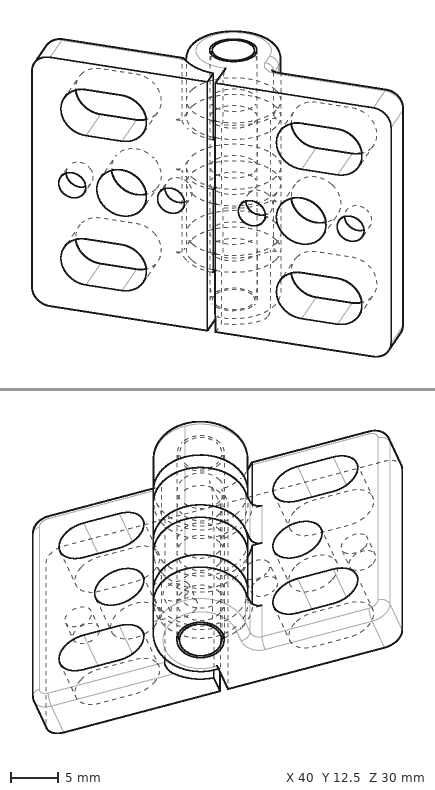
import cadquery as cq
import math

hinge_width = 40.0
hinge_height = 30.0
leaf_thickness = 5.0
leaf_gap = 0.9
corner_radius = 2.0
edge_radius = 1.0

barrel_radius = 5.0
axis_y = leaf_thickness + barrel_radius / 2
washer_thickness = 2.0
knuckle_count = 4
knuckle_length = (hinge_height - (knuckle_count - 1) * washer_thickness) / knuckle_count
knuckle_pitch = knuckle_length + washer_thickness
root_radius = 1.0
clearance_radius = 5.5
pin_diameter = 5.0
pin_lead_length = 1.5
pin_lead_angle = 10.0

hole_x = 10.0
hole_diameter = 5.5
slot_x = 12.0
slot_z = 9.0
slot_travel = 4.0
slot_length = slot_travel + hole_diameter
blind_diameter = 3.0
blind_spacing = 11.0
blind_depth = leaf_thickness / 2

leaf_inner_x = leaf_gap / 2
leaf_outer_x = hinge_width / 2
top_z = hinge_height / 2


def cylinder_on_axis(radius, bottom_z, length):
    """Cylinder around the hinge axis."""
    return cq.Workplane("XY", origin=(0, axis_y, bottom_z)).circle(radius).extrude(length)


def knuckle_bottom(index):
    """Lower end of a knuckle, counted from the top of the hinge."""
    return top_z - knuckle_length - index * knuckle_pitch


def leaf_plate():
    """Right-hand plate with rounded outer corners."""
    plate = cq.Workplane("XY").box(
        leaf_outer_x - leaf_inner_x, leaf_thickness, hinge_height, centered=(False, False, True)
    ).translate((leaf_inner_x, 0, 0))
    return plate.edges("|Y and >X").fillet(corner_radius)


def knuckle(index):
    """Knuckle with its rounded root on the plate, ending at the leaf's inner face below the axis."""
    arc_drop = math.sqrt(barrel_radius**2 - leaf_inner_x**2)
    arc_share = math.cos(math.radians(45))
    root_x = barrel_radius + root_radius
    root_y = leaf_thickness + root_radius
    return (
        cq.Workplane("XY", origin=(0, 0, knuckle_bottom(index)))
        .moveTo(leaf_inner_x, 0)
        .lineTo(leaf_inner_x, axis_y - arc_drop)
        .threePointArc((-barrel_radius, axis_y), (0, axis_y + barrel_radius))
        .threePointArc(
            (barrel_radius * arc_share, axis_y + barrel_radius * arc_share), (barrel_radius, axis_y)
        )
        .lineTo(barrel_radius, root_y)
        .threePointArc(
            (root_x - root_radius * arc_share, root_y - root_radius * arc_share),
            (root_x, leaf_thickness),
        )
        .lineTo(root_x, 0)
        .close()
        .extrude(knuckle_length)
    )


def round_outer_edge(body):
    """Round the tangent chain of edges along the top knuckle and around the plate."""
    rim_point = (leaf_outer_x, leaf_thickness, 0)
    rim = body.edges(cq.selectors.NearestToPointSelector(rim_point)).val()
    return cq.Workplane(body.val().fillet(edge_radius, [rim]))


def clearance_zone(index):
    """Space for a knuckle of the other leaf and the washers next to it."""
    bottom_z = knuckle_bottom(index) - washer_thickness
    length = knuckle_length + 2 * washer_thickness
    return cylinder_on_axis(clearance_radius, bottom_z, length)


def mounting_holes():
    """Round hole, two slots and two blind holes of the right-hand leaf."""
    face = cq.Workplane("XZ")
    centre_hole = face.center(hole_x, 0).circle(hole_diameter / 2).extrude(-leaf_thickness)
    slots = (
        face.pushPoints([(slot_x, -slot_z), (slot_x, slot_z)])
        .slot2D(slot_length, hole_diameter)
        .extrude(-leaf_thickness)
    )
    blind_holes = (
        face.center(hole_x, 0)
        .rarray(blind_spacing, 0.4, 2, 1)
        .circle(blind_diameter / 2)
        .extrude(-blind_depth)
    )
    return centre_hole.add(slots).add(blind_holes).combine()


def make_leaf():
    """Right-hand leaf, carrying the first and third knuckles from the top."""
    own_knuckles = range(0, knuckle_count, 2)
    other_knuckles = range(1, knuckle_count, 2)
    leaf = leaf_plate()
    for index in own_knuckles:
        leaf = leaf.union(knuckle(index))
    leaf = round_outer_edge(leaf.clean())
    for index in other_knuckles:
        leaf = leaf.cut(clearance_zone(index))
    pin_bore = cylinder_on_axis(pin_diameter / 2, -top_z, hinge_height)
    return leaf.cut(pin_bore).cut(mounting_holes())


def make_washer(index):
    """Spacer ring below the knuckle with the same index."""
    bottom_z = knuckle_bottom(index) - washer_thickness
    ring = cylinder_on_axis(barrel_radius, bottom_z, washer_thickness)
    return ring.cut(cylinder_on_axis(pin_diameter / 2, bottom_z, washer_thickness))


def make_pin():
    """Hinge pin with tapered lead-ins, flush with both ends of the barrel."""
    lead_inset = pin_lead_length * math.tan(math.radians(pin_lead_angle))
    pin = cylinder_on_axis(pin_diameter / 2, -top_z, hinge_height)
    for end_face in ("<Z", ">Z"):
        pin = pin.faces(end_face).chamfer(pin_lead_length, lead_inset)
    return pin


right_leaf = make_leaf()
left_leaf = right_leaf.rotate((0, 0, 0), (0, 1, 0), 180)
washers = [make_washer(index) for index in range(knuckle_count - 1)]
pin = make_pin()

result = cq.Compound.makeCompound(
    [right_leaf.val(), left_leaf.val(), *[washer.val() for washer in washers], pin.val()]
)